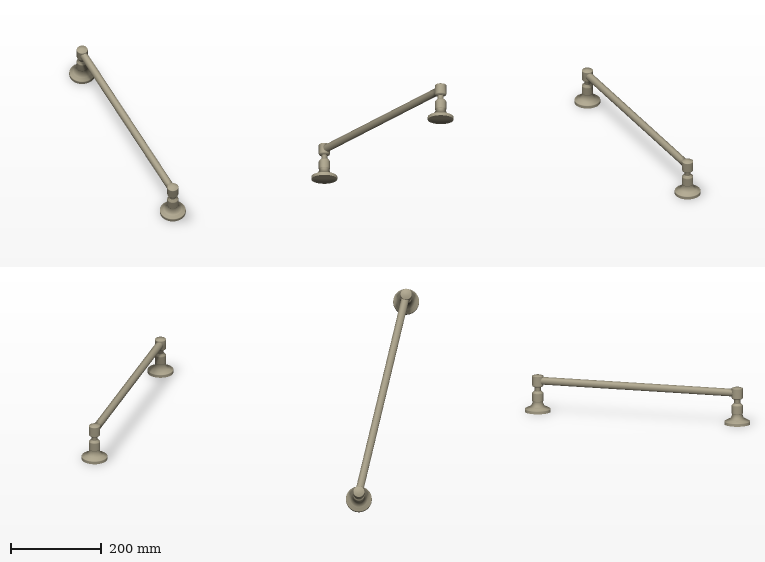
import cadquery as cq
import math

total_length = 514.5
post_height = 84.0
flange_diameter = 57.0
flange_radius = flange_diameter / 2
post_offset = total_length / 2 - flange_radius

rim_height = 6.5
rim_round = 1.5
cone_radius = 20.5
cone_height = 11.0

flare_top = 23.0
flare_top_radius = 12.0
flare_middle = (14.5, 15.0)

barrel_radius = 12.5
barrel_bottom = 24.5
barrel_top = 42.5
head_bottom = 58.0
head_top = 81.0
shoulder_round = 2.5
top_round = 1.0

taper_radius = 8.0
taper_round = 1.0
neck_radius = 6.5
neck_bottom = 47.5
neck_top = 55.5

dome_rise = post_height - head_top
dome_sphere = (barrel_radius**2 + dome_rise**2) / (2 * dome_rise)
dome_angle = math.asin(barrel_radius / dome_sphere) / 2
dome_middle = (
    dome_sphere * math.sin(dome_angle),
    post_height - dome_sphere * (1 - math.cos(dome_angle)),
)

selection_gap = 0.05

rail_diameter = 17.0
rail_radius = rail_diameter / 2
rail_top = 78.5
rail_height = rail_top - rail_radius


def round_rings(post, radius, heights, size):
    """Round the circular edges of the given radius at the given heights."""
    for height in heights:
        level = cq.selectors.BoxSelector(
            (-radius - selection_gap, -radius - selection_gap, height - selection_gap),
            (radius + selection_gap, radius + selection_gap, height + selection_gap),
            boundingbox=True,
        )
        outer_ring = cq.selectors.RadiusNthSelector(-1)
        post = post.edges(level).edges(outer_ring).fillet(size)
    return post


def make_post():
    """One post, revolved about the Z axis."""
    profile = (
        cq.Workplane("XZ")
        .lineTo(flange_radius, 0)
        .lineTo(flange_radius, rim_height)
        .lineTo(cone_radius, cone_height)
        .threePointArc(flare_middle, (flare_top_radius, flare_top))
        .lineTo(barrel_radius, barrel_bottom)
        .lineTo(barrel_radius, barrel_top)
        .lineTo(taper_radius, neck_bottom)
        .lineTo(neck_radius, neck_bottom)
        .lineTo(neck_radius, neck_top)
        .lineTo(taper_radius, neck_top)
        .lineTo(barrel_radius, head_bottom)
        .lineTo(barrel_radius, head_top)
        .threePointArc(dome_middle, (0, post_height))
        .close()
    )
    post = profile.revolve(360, (0, 0, 0), (0, 1, 0))
    post = round_rings(post, flange_radius, [rim_height], rim_round)
    post = round_rings(post, barrel_radius, [barrel_top, head_bottom], shoulder_round)
    post = round_rings(post, barrel_radius, [head_top], top_round)
    return round_rings(post, taper_radius, [neck_bottom, neck_top], taper_round)


def make_rail():
    """A round bar whose ends are hollowed to fit against the heads of the posts."""
    rail = (
        cq.Workplane("YZ", origin=(-post_offset, 0, rail_height))
        .circle(rail_radius)
        .extrude(2 * post_offset)
    )
    heads = (
        cq.Workplane("XY")
        .pushPoints([(-post_offset, 0), (post_offset, 0)])
        .circle(barrel_radius)
        .extrude(post_height)
    )
    return rail.cut(heads)


rail = make_rail()
posts = [make_post().translate((side * post_offset, 0, 0)) for side in (-1, 1)]

result = cq.Compound.makeCompound([rail.val(), *[post.val() for post in posts]])